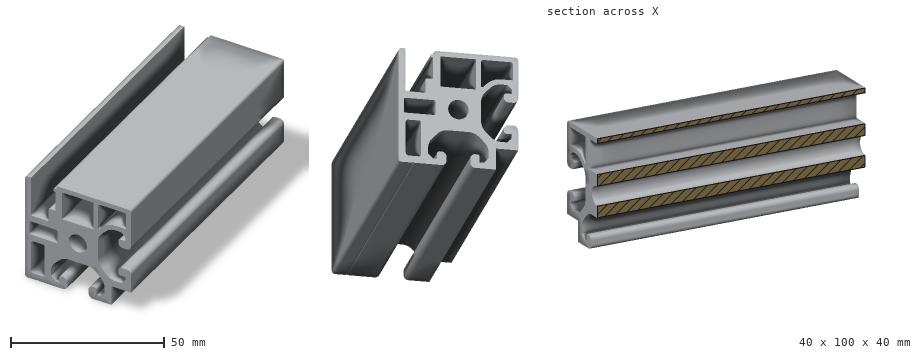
import cadquery as cq
import math

SIDE = 40.0
LENGTH = 100.0
HALF = SIDE / 2
CORNER_RADIUS = 1.0
BORE_DIAMETER = 6.8

THIN_WALL = 1.8
WEB_FACE = 7.6
PANEL_FACE = -17.6
THIN_FACE = HALF - THIN_WALL

SLOT_HALF_WIDTH = 10.1
SLOT_DIAGONAL_END = 12.2
SLOT_BEND_RADIUS = 5.0
SLOT_OUTER_DEPTH = 17.9
SLOT_OUTER_CHAMFER = 1.6
LIP_INNER_DEPTH = 15.2
LIP_HALF_WIDTH = 7.1
MOUTH_HALF_WIDTH = 4.0
SLOT_OVERRUN = 1.0
LIP_SMALL_RADIUS = 0.8
LIP_LARGE_RADIUS = 1.6

NOTCH_FACE = 12.6

GROOVE_FLOOR = 5.0
GROOVE_FLOOR_RADIUS = 0.5
STEP_FACE = -11.0
STEP_TOP = 10.1
STEP_RADIUS = 0.5
GROOVE_WALL = -8.5
RIDGE_TIP = -9.2
RIDGE_TOP = 18.8
RIDGE_BOTTOM = 17.5
RIDGE_RADIUS = 0.5
GROOVE_RIM = -8.0
RIM_RADIUS = 0.5

MARK_X = -15.0
MARK_DEPTH = 0.3

SQUARE_HALF_WIDTH = 5.9
SIDE_CHAMBER_HALF_HEIGHT = 2.6
CHAMBER_RADIUS = 0.8
CHAMBER_SMALL_RADIUS = 0.5
LOWER_CHAMBER_RIGHT = -12.5
LOWER_CHAMBER_TOP = -5.0
LOWER_CHAMBER_RADIUS = 1.0
CORNER_CHAMBER_BOTTOM = 8.6


def round_edges(body, places, radius):
    """Round the lengthwise edges that pass through the given (x, z) places."""
    for x, z in places:
        nearest = cq.selectors.NearestToPointSelector((x, 0, z))
        body = body.edges("|Y").edges(nearest).fillet(radius)
    return body


def prism(points, radii=None):
    """Extrude an (x, z) outline along Y; radii maps a point's index to its rounding radius."""
    body = cq.Workplane("XZ").polyline(points).close().extrude(LENGTH / 2, both=True)
    for index, radius in (radii or {}).items():
        body = round_edges(body, [points[index]], radius)
    return body


def box_prism(left, right, bottom, top, radii=None):
    """Rectangular prism; corners run bottom-left, bottom-right, top-right, top-left."""
    return prism([(left, bottom), (right, bottom), (right, top), (left, top)], radii)


def slot():
    """T-slot opening on the +X side."""
    diagonal_start = SLOT_HALF_WIDTH - (SLOT_DIAGONAL_END - WEB_FACE)
    half = [
        (WEB_FACE, diagonal_start),
        (SLOT_DIAGONAL_END, SLOT_HALF_WIDTH),
        (SLOT_OUTER_DEPTH - SLOT_OUTER_CHAMFER, SLOT_HALF_WIDTH),
        (SLOT_OUTER_DEPTH, SLOT_HALF_WIDTH - SLOT_OUTER_CHAMFER),
        (SLOT_OUTER_DEPTH, LIP_HALF_WIDTH),
        (LIP_INNER_DEPTH, LIP_HALF_WIDTH),
        (LIP_INNER_DEPTH, MOUTH_HALF_WIDTH),
        (HALF + SLOT_OVERRUN, MOUTH_HALF_WIDTH),
    ]
    half_radii = {
        0: SLOT_BEND_RADIUS,
        1: SLOT_BEND_RADIUS,
        5: LIP_SMALL_RADIUS,
        6: LIP_LARGE_RADIUS,
    }
    points = half + [(depth, -width) for depth, width in reversed(half)]
    last = len(points) - 1
    radii = dict(half_radii)
    radii.update({last - index: radius for index, radius in half_radii.items()})
    return prism(points, radii)


def stepped_groove():
    """Groove open at the top, with a step and a small ridge on its right wall."""
    return prism(
        [
            (PANEL_FACE, GROOVE_FLOOR),
            (STEP_FACE, GROOVE_FLOOR),
            (STEP_FACE, STEP_TOP),
            (GROOVE_WALL, STEP_TOP),
            (GROOVE_WALL, RIDGE_BOTTOM),
            (RIDGE_TIP, RIDGE_BOTTOM),
            (RIDGE_TIP, RIDGE_TOP),
            (GROOVE_RIM, RIDGE_TOP),
            (GROOVE_RIM, HALF),
            (PANEL_FACE, HALF),
        ],
        {0: GROOVE_FLOOR_RADIUS, 2: STEP_RADIUS, 5: RIDGE_RADIUS, 6: RIDGE_RADIUS},
    )


def marking_groove():
    return prism([
        (MARK_X - MARK_DEPTH, -HALF),
        (MARK_X + MARK_DEPTH, -HALF),
        (MARK_X, -HALF + MARK_DEPTH),
    ])


def corner_chamber():
    """Chamber beside the upper bend of the +X slot, a thin wall away from it.

    The bend's 45 degree diagonal and its flat are both offset by the wall, so their
    meeting point shifts along the flat by the wall times tan(45 / 2 degrees).
    """
    bottom = SLOT_HALF_WIDTH + THIN_WALL
    diagonal_end = SLOT_DIAGONAL_END - THIN_WALL * math.tan(math.pi / 8)
    return prism(
        [
            (WEB_FACE, CORNER_CHAMBER_BOTTOM),
            (diagonal_end - (bottom - CORNER_CHAMBER_BOTTOM), CORNER_CHAMBER_BOTTOM),
            (diagonal_end, bottom),
            (THIN_FACE, bottom),
            (THIN_FACE, THIN_FACE),
            (WEB_FACE, THIN_FACE),
        ],
        {2: SLOT_BEND_RADIUS + THIN_WALL, 4: CHAMBER_RADIUS, 5: CHAMBER_RADIUS},
    )


right_slot = slot()
bottom_slot = right_slot.rotate((0, 0, 0), (0, 1, 0), 90)
corner_notch = box_prism(NOTCH_FACE, HALF, -HALF, -NOTCH_FACE)
square_chamber = box_prism(-SQUARE_HALF_WIDTH, SQUARE_HALF_WIDTH, WEB_FACE, THIN_FACE)
side_chamber = box_prism(
    -THIN_FACE, -WEB_FACE, -SIDE_CHAMBER_HALF_HEIGHT, SIDE_CHAMBER_HALF_HEIGHT,
    {0: CHAMBER_SMALL_RADIUS, 1: CHAMBER_RADIUS, 2: CHAMBER_RADIUS, 3: CHAMBER_SMALL_RADIUS},
)
lower_chamber = box_prism(
    PANEL_FACE, LOWER_CHAMBER_RIGHT, PANEL_FACE, LOWER_CHAMBER_TOP,
    {0: LOWER_CHAMBER_RADIUS, 1: CHAMBER_RADIUS, 2: CHAMBER_SMALL_RADIUS, 3: CHAMBER_RADIUS},
)
bore = cq.Workplane("XZ").circle(BORE_DIAMETER / 2).extrude(LENGTH / 2, both=True)

result = box_prism(-HALF, HALF, -HALF, HALF)
for cut in (
    right_slot, bottom_slot, corner_notch, stepped_groove(), marking_groove(),
    square_chamber, side_chamber, lower_chamber, corner_chamber(), bore,
):
    result = result.cut(cut)

plain_corners = [(-HALF, HALF), (-HALF, -HALF), (HALF, HALF)]
lip_corners = [
    (HALF, MOUTH_HALF_WIDTH),
    (HALF, -MOUTH_HALF_WIDTH),
    (MOUTH_HALF_WIDTH, -HALF),
    (-MOUTH_HALF_WIDTH, -HALF),
]
result = round_edges(result, plain_corners, CORNER_RADIUS)
result = round_edges(result, lip_corners, LIP_LARGE_RADIUS)
result = round_edges(result, [(GROOVE_RIM, HALF)], RIM_RADIUS)